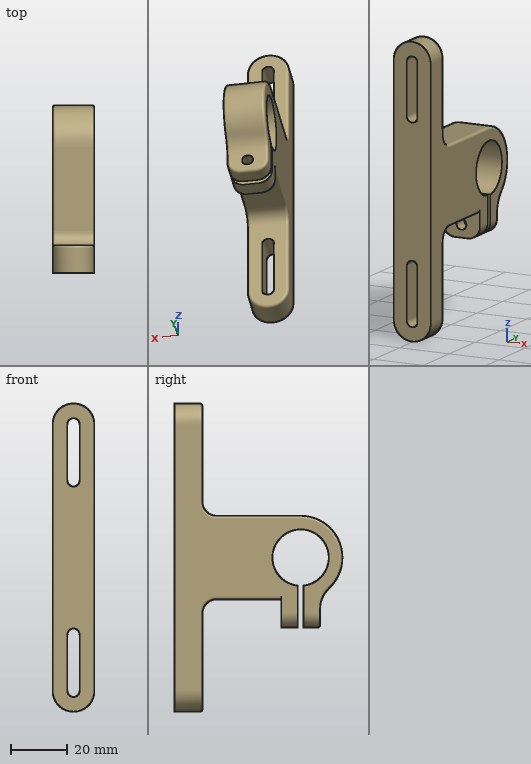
import cadquery as cq
import math

width = 15.0
plate_length = 110
plate_thickness = 10.0
plate_slot_width = 4.3
plate_slot_travel = 20.0

total_depth = 60.0
ring_radius = 15.0
bore_diameter = 20.0
arm_corner_radius = 5.0

lug_depth = 14.0
lug_bottom = -25.0
lug_corner_radius = 5.0
neck_radius = 10.0
clamp_gap = 2.0
screw_hole_diameter = 4.0

rim_radius = 1.0
tolerance = 0.01

ring_y = total_depth - ring_radius
lug_back = ring_y + lug_depth / 2
lug_front = ring_y - lug_depth / 2
arm_start = plate_thickness + arm_corner_radius
screw_z = lug_bottom + lug_corner_radius


def make_plate():
    """Plate with fully rounded ends."""
    return (
        cq.Workplane("XZ")
        .slot2D(plate_length, width, 90)
        .extrude(-plate_thickness)
    )


def make_arm():
    """Arm, ring and lug as one side profile, extruded across the width."""
    neck_y = lug_back + neck_radius
    neck_angle = math.acos((neck_y - ring_y) / (ring_radius + neck_radius))
    neck_z = -(ring_radius + neck_radius) * math.sin(neck_angle)
    neck_start = (
        ring_y + ring_radius * math.cos(neck_angle),
        -ring_radius * math.sin(neck_angle),
    )
    neck_middle = (
        neck_y - neck_radius * math.cos(neck_angle / 2),
        neck_z + neck_radius * math.sin(neck_angle / 2),
    )
    corner_z = ring_radius + arm_corner_radius
    corner_middle_y = arm_start - arm_corner_radius * math.sqrt(0.5)
    corner_middle_z = corner_z - arm_corner_radius * math.sqrt(0.5)
    root_y = plate_thickness / 2

    return (
        cq.Workplane("YZ")
        .moveTo(root_y, corner_z)
        .lineTo(plate_thickness, corner_z)
        .threePointArc((corner_middle_y, corner_middle_z), (arm_start, ring_radius))
        .lineTo(ring_y, ring_radius)
        .threePointArc((total_depth, 0), neck_start)
        .threePointArc(neck_middle, (lug_back, neck_z))
        .lineTo(lug_back, lug_bottom)
        .lineTo(lug_front, lug_bottom)
        .lineTo(lug_front, -ring_radius)
        .lineTo(arm_start, -ring_radius)
        .threePointArc((corner_middle_y, -corner_middle_z), (plate_thickness, -corner_z))
        .lineTo(root_y, -corner_z)
        .close()
        .extrude(width / 2, both=True)
    )


def round_lug_corners(body):
    """Round the two lower edges of the lug that run along Y."""
    corners = cq.selectors.BoxSelector(
        (-width, lug_front - tolerance, lug_bottom - tolerance),
        (width, lug_back + tolerance, lug_bottom + tolerance),
    )
    return body.edges(corners).edges("|Y").fillet(lug_corner_radius)


def is_rim(edge):
    """True for the outer edges of the arm, ring, lug back and plate back."""
    box = edge.BoundingBox()
    on_plate_front = box.ymin < plate_thickness - tolerance
    on_lug_front = (
        arm_start + tolerance < box.ymin < lug_back - tolerance
        and box.zmin < -ring_radius - tolerance
    )
    crosses_width = edge.geomType() == "LINE" and box.xlen > width - tolerance
    return not (on_plate_front or on_lug_front or crosses_width)


def round_rims(body):
    rims = [edge for edge in body.edges().vals() if is_rim(edge)]
    return body.newObject(rims).fillet(rim_radius)


def cut_plate_slots(body):
    """Two upright adjusting slots, their outer ends concentric with the plate ends."""
    slot_z = (plate_length - width - plate_slot_travel) / 2
    slots = (
        cq.Workplane("XZ")
        .pushPoints([(0, slot_z), (0, -slot_z)])
        .slot2D(plate_slot_travel + plate_slot_width, plate_slot_width, 90)
        .extrude(-plate_thickness)
    )
    return body.cut(slots)


def cut_clamp(body):
    """Bore, split below the bore, and the screw hole across the split."""
    bore = (
        cq.Workplane("YZ")
        .center(ring_y, 0)
        .circle(bore_diameter / 2)
        .extrude(width / 2, both=True)
    )
    split = (
        cq.Workplane("XY")
        .center(0, ring_y)
        .rect(width, clamp_gap)
        .extrude(lug_bottom)
    )
    screw_hole = (
        cq.Workplane("XZ", origin=(0, lug_front, screw_z))
        .circle(screw_hole_diameter / 2)
        .extrude(-lug_depth)
    )
    return body.cut(bore).cut(split).cut(screw_hole)


body = make_plate().union(make_arm())
body = round_lug_corners(body)
body = round_rims(body)
body = cut_plate_slots(body)
result = cut_clamp(body)